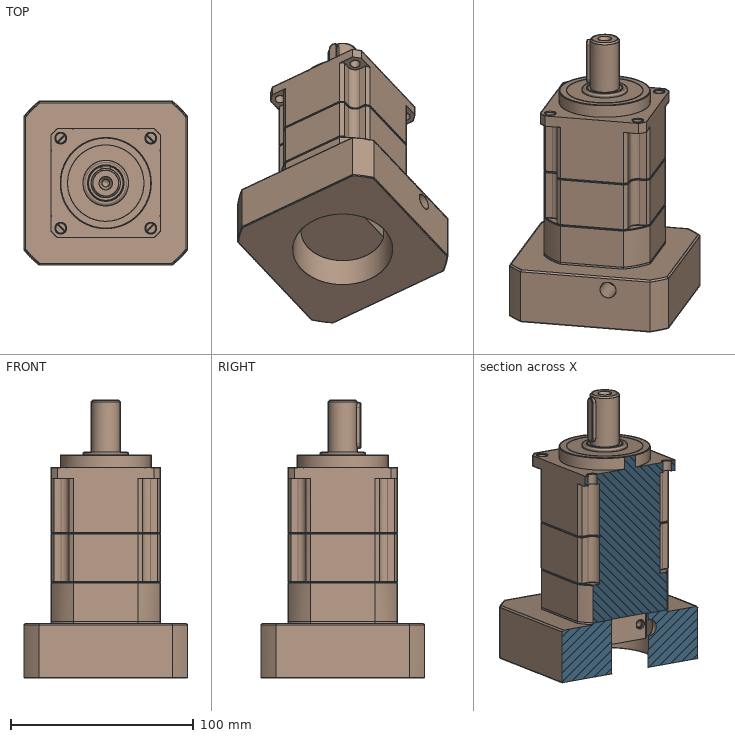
import cadquery as cq
import math

total_height = 152.5
adapter_height = 30.0
pad_height = 1.0
pad_top_z = adapter_height + pad_height
lower_groove_z = 52.6
upper_groove_z = 79.5
flange_bottom_z = 109.5
flange_top_z = 115.5
boss_top_z = 122.5
collar_top_z = 124.0

adapter_side = 90.0
adapter_corner_diameter = 115.9
adapter_top_chamfer = 0.9
adapter_bottom_chamfer = 0.5
access_y = -12.8
access_z = 22.5
access_diameter = 9.0
cavity_diameter = 54.9

housing_side = 60.0
housing_corner_diameter = 69.7
flange_corner_diameter = 79.9
seam_depth = 0.5
bolt_offset = 24.7
bolt_diameter = 5.5
bolt_chamfer = 0.5
pocket_inner = 20.1
pocket_fillet = 4.4
boss_diameter = 50.0
boss_chamfer = 0.3
recess_diameter = 42.0
recess_depth = 0.2
collar_diameter = 25.0
collar_fillet = 1.0
collar_bore = 20.0

hub_diameter = 45.8
hub_bottom_z = 14.0
hub_flat_half_width = 16.3
socket_diameter = 5.2
socket_depth = 1.5
pilot_diameter = 3.7
pilot_depth = 4.5

shaft_diameter = 16.0
shaft_chamfer = 0.9
shoulder_diameter = 18.9
centre_hole_diameter = 4.1
centre_hole_depth = 12.5
centre_sink_diameter = 7.3
centre_sink_angle = 60
key_width = 5.0
key_length = 25.0
key_bottom_z = 126.1
key_top_y = 9.9
key_chamfer = 0.5
key_height = 5.0


def rounded_square(side, corner_diameter, bottom_z, top_z):
    """Square block whose corners are turned down to a common circle."""
    height = top_z - bottom_z
    block = cq.Workplane("XY").workplane(offset=bottom_z).rect(side, side).extrude(height)
    return block.intersect(disc(corner_diameter, bottom_z, top_z))


def disc(diameter, bottom_z, top_z):
    """Cylinder about the Z axis."""
    return cq.Workplane("XY").workplane(offset=bottom_z).circle(diameter / 2).extrude(top_z - bottom_z)


def side_hole(diameter, start_x, depth):
    """Round cutter along +X on the clamp screw axis."""
    start = cq.Plane(origin=(start_x, access_y, access_z), xDir=(0, 1, 0), normal=(1, 0, 0))
    return cq.Workplane(start).circle(diameter / 2).extrude(depth)


def make_adapter():
    block = rounded_square(adapter_side, adapter_corner_diameter, 0, adapter_height)
    block = block.faces(">Z").chamfer(adapter_top_chamfer)
    block = block.faces("<Z").chamfer(adapter_bottom_chamfer)
    pad = rounded_square(housing_side, housing_corner_diameter, adapter_height, pad_top_z)
    cavity = disc(cavity_diameter, 0, pad_top_z)
    access = side_hole(access_diameter, -adapter_side / 2, adapter_side / 2)
    return block.union(pad).cut(cavity).cut(access)


def make_hub():
    """Clamp hub with a flat on its -X side, where the clamp screw enters."""
    hub_radius = hub_diameter / 2
    flat_x = -math.sqrt(hub_radius**2 - hub_flat_half_width**2)
    hub_height = pad_top_z - hub_bottom_z
    kept_side = (
        cq.Workplane("XY").workplane(offset=hub_bottom_z)
        .center((flat_x + hub_radius) / 2, 0).rect(hub_radius - flat_x, hub_diameter).extrude(hub_height)
    )
    hub = disc(hub_diameter, hub_bottom_z, pad_top_z).intersect(kept_side)
    socket = side_hole(socket_diameter, flat_x, socket_depth)
    pilot = side_hole(pilot_diameter, flat_x + socket_depth, pilot_depth)
    return hub.cut(socket).cut(pilot)


def housing_section(bottom_z, top_z, pocketed):
    """One storey of the housing, optionally with a filleted pocket at each corner."""
    section = rounded_square(housing_side, housing_corner_diameter, bottom_z, top_z)
    if pocketed:
        pocket_size = housing_side / 2
        pocket_centre = pocket_inner + pocket_size / 2
        pockets = (
            cq.Workplane("XY").workplane(offset=bottom_z)
            .rect(2 * pocket_centre, 2 * pocket_centre, forConstruction=True).vertices()
            .rect(pocket_size, pocket_size).extrude(top_z - bottom_z)
            .edges("|Z").fillet(pocket_fillet)
        )
        section = section.cut(pockets)
    return section


def make_flange():
    flange = rounded_square(housing_side, flange_corner_diameter, flange_bottom_z, flange_top_z)
    bolt_pattern = 2 * bolt_offset
    return (
        flange.faces(">Z").workplane(origin=(0, 0, flange_top_z))
        .rect(bolt_pattern, bolt_pattern, forConstruction=True).vertices()
        .cskHole(bolt_diameter, bolt_diameter + 2 * bolt_chamfer, 90)
    )


def make_boss():
    recess_floor_z = boss_top_z - recess_depth
    boss = disc(boss_diameter, flange_top_z, boss_top_z).faces(">Z").chamfer(boss_chamfer)
    boss = boss.cut(disc(recess_diameter, recess_floor_z, boss_top_z))
    collar = disc(collar_diameter, recess_floor_z, collar_top_z).faces(">Z").fillet(collar_fillet)
    return boss.union(collar)


def make_housing():
    lower = housing_section(pad_top_z, lower_groove_z, pocketed=False)
    middle = housing_section(lower_groove_z, upper_groove_z, pocketed=True)
    upper = housing_section(upper_groove_z, flange_bottom_z, pocketed=True)

    lower = lower.faces(">Z").chamfer(seam_depth)
    middle = middle.faces("<Z or >Z").chamfer(seam_depth)
    upper = upper.faces("<Z").chamfer(seam_depth)

    housing = lower.union(middle).union(upper)
    housing = housing.union(make_flange()).union(make_boss()).union(make_hub())
    clearance = disc(collar_bore, boss_top_z, collar_top_z)
    shoulder_seat = disc(shoulder_diameter, flange_top_z, collar_top_z)
    return housing.cut(clearance).cut(shoulder_seat)


def make_key():
    """Round-ended key standing out of the shaft's +Y side."""
    key_plane = cq.Plane(
        origin=(0, key_top_y, key_bottom_z + key_length / 2), xDir=(0, 0, 1), normal=(0, -1, 0)
    )
    key = cq.Workplane(key_plane).slot2D(key_length, key_width).extrude(key_height)
    return key.faces(">Y").chamfer(key_chamfer)


def make_centre_hole():
    """Drilled hole in the shaft end with a conical mouth and a conical drill point."""
    hole_radius = centre_hole_diameter / 2
    sink_radius = centre_sink_diameter / 2
    sink_depth = (sink_radius - hole_radius) / math.tan(math.radians(centre_sink_angle / 2))
    point_depth = hole_radius / math.tan(math.radians(centre_sink_angle))
    hole_floor_z = total_height - centre_hole_depth
    profile = [
        (0, total_height),
        (sink_radius, total_height),
        (hole_radius, total_height - sink_depth),
        (hole_radius, hole_floor_z),
        (0, hole_floor_z - point_depth),
    ]
    return cq.Workplane("XZ").polyline(profile).close().revolve(360, (0, 0, 0), (0, 1, 0))


def make_shaft():
    journal = disc(shaft_diameter, collar_top_z, total_height).faces(">Z").chamfer(shaft_chamfer)
    shoulder = disc(shoulder_diameter, flange_top_z, collar_top_z)
    return journal.union(shoulder).union(make_key()).cut(make_centre_hole())


adapter = make_adapter()
housing = make_housing()
shaft = make_shaft()

result = cq.Compound.makeCompound([adapter.val(), housing.val(), shaft.val()])